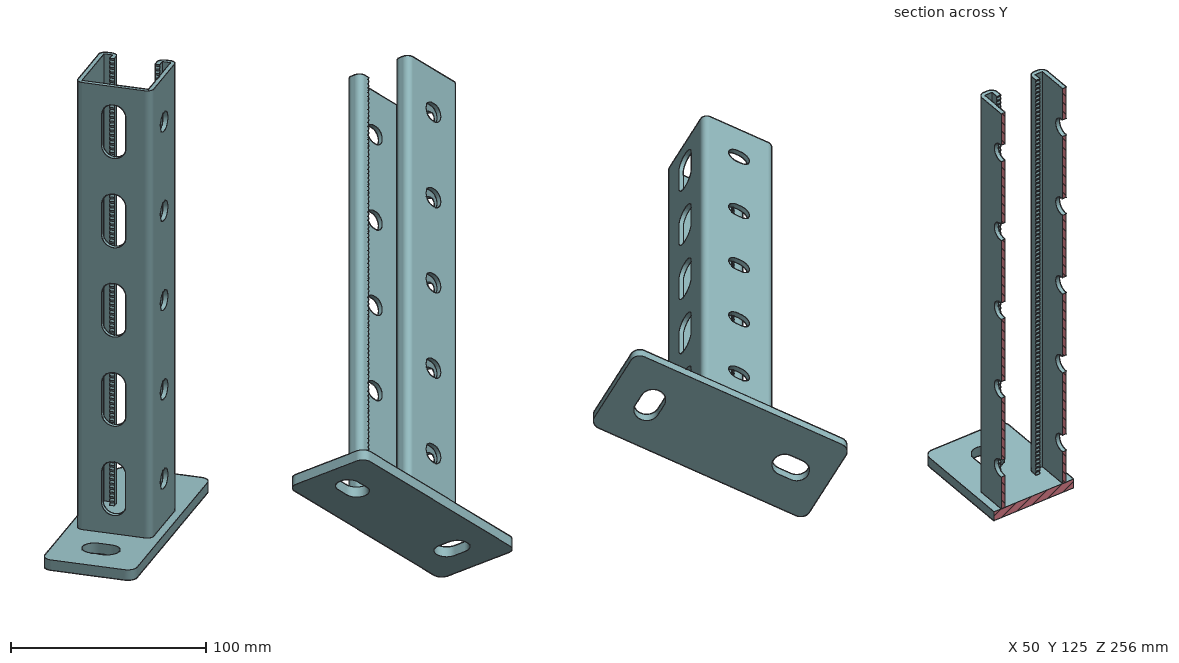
import cadquery as cq

total_height = 256.0

plate_width = 50.0
plate_length = 125.0
plate_thickness = 6.0
plate_corner_radius = 5.0
plate_slot_length = 20.0
plate_slot_width = 13.0
plate_slot_offset = 41.0

channel_size = 41.0
channel_wall = 2.5
channel_bend_radius = 3.5
channel_opening = 22.0
lip_depth = 7.0
channel_height = total_height - plate_thickness

tooth_count = 100
tooth_depth = 0.5
tooth_pitch = channel_height / tooth_count

opening_count = 5
opening_pitch = 50.0
first_opening_height = channel_height / 2 - opening_pitch * (opening_count - 1) / 2
opening_heights = [
    plate_thickness + first_opening_height + i * opening_pitch for i in range(opening_count)
]
web_slot_length = 30.0
web_slot_width = 13.0
side_slot_length = 12.0
side_slot_width = 10.2


def make_base_plate():
    """Rounded plate with a lengthwise slot at its +Y end and a crosswise slot at its -Y end."""
    plate = (
        cq.Workplane("XY")
        .rect(plate_width, plate_length)
        .extrude(plate_thickness)
        .edges("|Z")
        .fillet(plate_corner_radius)
    )
    for offset, angle in ((plate_slot_offset, 90), (-plate_slot_offset, 0)):
        slot = (
            cq.Workplane("XY")
            .center(0, offset)
            .slot2D(plate_slot_length, plate_slot_width, angle)
            .extrude(plate_thickness)
        )
        plate = plate.cut(slot)
    return plate


def make_channel_blank():
    """Channel with rounded outer bends, sharp inner corners and lips turned into the cavity."""
    half_size = channel_size / 2
    wall_inner = half_size - channel_wall
    lip_outer = channel_opening / 2
    lip_inner = lip_outer + channel_wall
    lip_end = half_size - lip_depth
    right_half = (
        cq.Workplane("XY", origin=(0, 0, plate_thickness))
        .moveTo(0, -half_size)
        .lineTo(half_size - channel_bend_radius, -half_size)
        .radiusArc((half_size, -half_size + channel_bend_radius), -channel_bend_radius)
        .lineTo(half_size, half_size - channel_bend_radius)
        .radiusArc((half_size - channel_bend_radius, half_size), -channel_bend_radius)
        .lineTo(lip_outer + channel_bend_radius, half_size)
        .radiusArc((lip_outer, half_size - channel_bend_radius), -channel_bend_radius)
        .lineTo(lip_outer, lip_end)
        .lineTo(lip_inner, lip_end)
        .lineTo(lip_inner, wall_inner)
        .lineTo(wall_inner, wall_inner)
        .lineTo(wall_inner, -wall_inner)
        .lineTo(0, -wall_inner)
        .close()
        .extrude(channel_height)
    )
    return right_half.union(right_half.mirror("YZ")).clean()


def make_serration_cutter():
    """Row of V-grooves across both lips, with sharp crests at both ends of the post."""
    lip_end = channel_size / 2 - lip_depth
    half_span = channel_opening / 2 + channel_wall
    points = [(lip_end, plate_thickness)]
    for tooth in range(tooth_count):
        crest_height = plate_thickness + tooth * tooth_pitch
        points.append((lip_end + tooth_depth, crest_height + tooth_pitch / 2))
        points.append((lip_end, crest_height + tooth_pitch))
    points.append((lip_end - tooth_depth, total_height))
    points.append((lip_end - tooth_depth, plate_thickness))
    return cq.Workplane("YZ").polyline(points).close().extrude(half_span, both=True)


def make_channel():
    """Post with slots in the -Y web and cross slots through both side walls."""
    post = make_channel_blank().cut(make_serration_cutter())
    for height in opening_heights:
        web_slot = (
            cq.Workplane("XZ", origin=(0, 0, height))
            .slot2D(web_slot_length, web_slot_width, 90)
            .extrude(channel_size)
        )
        side_slot = (
            cq.Workplane("YZ", origin=(0, 0, height))
            .slot2D(side_slot_length, side_slot_width)
            .extrude(channel_size, both=True)
        )
        post = post.cut(web_slot).cut(side_slot)
    return post


base_plate = make_base_plate()
channel = make_channel()
result = cq.Compound.makeCompound([base_plate.val(), channel.solids().val()])